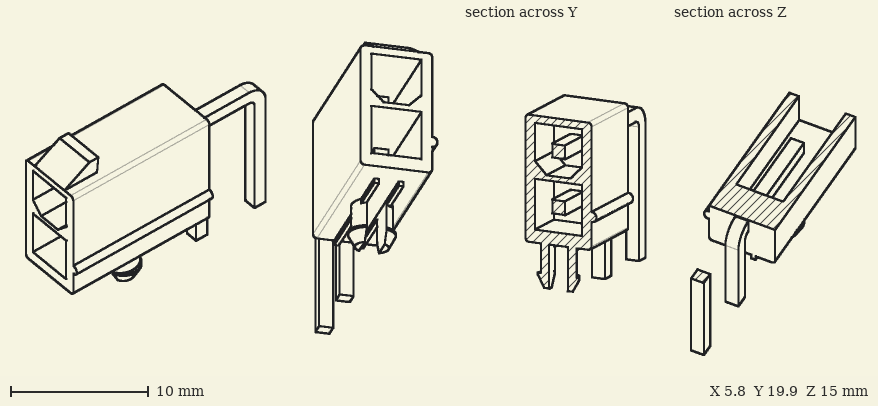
import cadquery as cq
import math


body_width = 5.4
body_depth = 12.81
body_height = 9.6
corner_radius = 0.3

cavity_size = 3.79
cavity_depth = 9.96
cavity_chamfer = 0.94
contact_pitch = 4.2
lower_contact_z = 2.9
upper_contact_z = lower_contact_z + contact_pitch

pin_size = 1.05
pin_tip_y = 3.99
pin_bottom_z = -4.0
bend_inner_radius = 0.5
upper_pin_end_y = 19.93
lower_pin_end_y = 14.43

latch_width = 3.39
latch_height = 1.4
latch_back_y = 3.19
latch_flat = 0.84
latch_undercut = 0.12

side_rib_radius = 0.4
side_rib_z = 2.51

peg_y = 6.6
peg_gap = 1.5
peg_half_length = 1.3
peg_outer_x = 1.51
lip_outer_x = 1.75
peg_end_x = 1.25
peg_end_half_length = 0.78
lip_top_z = -2.2
lip_bottom_z = -2.35
peg_end_z = -3.3

rail_height = 0.35
rail_outer_x = 1.1
rail_front_y = 2.01


def make_housing():
    block = cq.Workplane("XY").box(
        body_width, body_depth, body_height, centered=(True, False, False)
    )
    return block.edges("|Y").fillet(corner_radius)


def make_cavity(center_z):
    return (
        cq.Workplane("XY")
        .box(cavity_size, cavity_depth, cavity_size, centered=(True, False, True))
        .translate((0, 0, center_z))
    )


def make_pin(center_z, end_y):
    """Square wire running back from the cavity and bent down to the board."""
    top_z = center_z + pin_size / 2
    under_z = top_z - pin_size
    inner_y = end_y - pin_size
    outer_radius = bend_inner_radius + pin_size
    bend_y = end_y - outer_radius
    bend_z = top_z - outer_radius
    diagonal = math.sqrt(0.5)
    outer_mid = (bend_y + outer_radius * diagonal, bend_z + outer_radius * diagonal)
    inner_mid = (bend_y + bend_inner_radius * diagonal, bend_z + bend_inner_radius * diagonal)
    return (
        cq.Workplane("YZ")
        .moveTo(pin_tip_y, top_z)
        .lineTo(bend_y, top_z)
        .threePointArc(outer_mid, (end_y, bend_z))
        .lineTo(end_y, pin_bottom_z)
        .lineTo(inner_y, pin_bottom_z)
        .lineTo(inner_y, bend_z)
        .threePointArc(inner_mid, (bend_y, under_z))
        .lineTo(pin_tip_y, under_z)
        .close()
        .extrude(pin_size / 2, both=True)
    )


def make_latch():
    top_z = body_height + latch_height
    profile = [
        (0, body_height),
        (latch_back_y - latch_flat, top_z),
        (latch_back_y, top_z),
        (latch_back_y - latch_undercut, body_height),
    ]
    return cq.Workplane("YZ").polyline(profile).close().extrude(latch_width / 2, both=True)


def draw_peg_segment(plane, outer_x, half_length):
    """Segment between the flat of the peg gap and its bowed outer side."""
    return (
        plane.moveTo(peg_gap / 2, -half_length)
        .threePointArc((outer_x, 0), (peg_gap / 2, half_length))
        .close()
    )


def make_peg_half():
    """The half of the peg on the +X side: stem, lip and tapered end."""
    base = cq.Workplane("XY", origin=(0, peg_y, 0))
    stem = draw_peg_segment(base, peg_outer_x, peg_half_length).extrude(lip_bottom_z)
    lip_plane = cq.Workplane("XY", origin=(0, peg_y, lip_top_z))
    lip = draw_peg_segment(lip_plane, lip_outer_x, peg_half_length).extrude(
        lip_bottom_z - lip_top_z
    )
    taper_plane = cq.Workplane("XY", origin=(0, peg_y, lip_bottom_z))
    taper_top = draw_peg_segment(taper_plane, lip_outer_x, peg_half_length)
    taper_end = taper_top.workplane(offset=peg_end_z - lip_bottom_z)
    taper = draw_peg_segment(taper_end, peg_end_x, peg_end_half_length).loft(ruled=True)
    return stem.union(lip).union(taper)


def make_rail():
    return cq.Workplane("XY").box(
        rail_outer_x - peg_gap / 2, body_depth - rail_front_y, rail_height, centered=False
    ).translate((peg_gap / 2, rail_front_y, -rail_height))


side_rib = (
    cq.Workplane("XZ", origin=(body_width / 2, 0, side_rib_z))
    .circle(side_rib_radius)
    .extrude(-body_depth)
)
result = make_housing().union(make_latch()).union(side_rib)

upper_cavity = make_cavity(upper_contact_z).edges("|Y and <Z").chamfer(cavity_chamfer)
result = result.cut(make_cavity(lower_contact_z)).cut(upper_cavity)

for half in (make_peg_half(), make_rail()):
    result = result.union(half).union(half.mirror("YZ"))

for contact_z, end_y in (
    (upper_contact_z, upper_pin_end_y),
    (lower_contact_z, lower_pin_end_y),
):
    result = result.union(make_pin(contact_z, end_y))